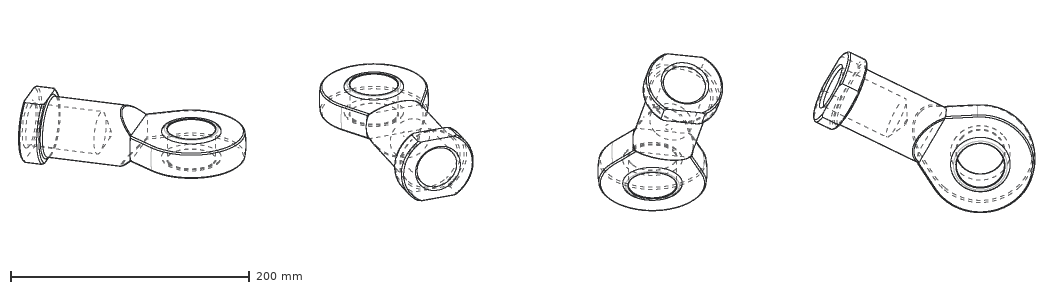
import cadquery as cq
import math

total_length = 188.0
eye_radius = 92.0 / 2
eye_x = total_length - eye_radius
eye_thickness = 23.3
eye_crown = 1.0
eye_edge_chamfer = 1.3

ring_width = 28.2
ring_diameter = 50.0
ring_bore = 40.2
ring_bore_chamfer = 0.5
ring_rounding = (ring_width - eye_thickness) / 2

shank_radius = 51.7 / 2
shank_end = 95.9
bevel_edge_chamfer = 0.8
collar_radius = 65.2 / 2
collar_length = 17.9
collar_flats = 55.0
collar_chamfer = 1.5
collar_neck = 1.5
neck_angle = 45.0

socket_radius = 36.0 / 2
socket_depth = 62.0
socket_mouth_radius = 20.3
socket_tip_radius = 2.8
drill_point_angle = 118.0


def crowned_section(plane, half_width):
    """Half section from the centre line out to a crowned, chamfered rim."""
    half_thickness = eye_thickness / 2
    rim_edge = half_width - eye_crown
    rim_z = half_thickness - eye_edge_chamfer
    return (
        cq.Workplane(plane)
        .moveTo(0, -half_thickness)
        .lineTo(rim_edge - eye_edge_chamfer, -half_thickness)
        .lineTo(rim_edge, -rim_z)
        .threePointArc((half_width, 0), (rim_edge, rim_z))
        .lineTo(rim_edge - eye_edge_chamfer, half_thickness)
        .lineTo(0, half_thickness)
        .close()
    )


def make_eye():
    """Crowned disc with two crowned flanks running tangentially to the shank."""
    eye_centre = cq.Vector(eye_x, 0, 0)
    disc_plane = cq.Plane(origin=eye_centre, xDir=(1, 0, 0), normal=(0, -1, 0))
    eye = crowned_section(disc_plane, eye_radius).revolve(360, (0, 0), (0, 1))

    reach = eye_x - shank_end
    corner_distance = math.hypot(reach, shank_radius)
    tangent_angle = math.atan2(shank_radius, -reach) - math.acos(eye_radius / corner_distance)
    flank_length = math.sqrt(corner_distance**2 - eye_radius**2)

    for side in (1, -1):
        outward = cq.Vector(math.cos(tangent_angle), side * math.sin(tangent_angle), 0)
        along = cq.Vector(-math.sin(tangent_angle), side * math.cos(tangent_angle), 0)
        flank_plane = cq.Plane(origin=eye_centre, xDir=outward, normal=along)
        flank = crowned_section(flank_plane, eye_radius).extrude(flank_length + shank_radius)
        side_envelope = cq.Workplane("XY").box(
            reach, eye_radius, eye_thickness, centered=(False, True, True)
        )
        side_envelope = side_envelope.translate((shank_end, side * eye_radius / 2, 0))
        eye = eye.union(flank.intersect(side_envelope))
    return eye


def make_shank():
    """Round shank bevelled at 45 degrees down to the eye thickness."""
    half_thickness = eye_thickness / 2
    bevel_start = shank_end - (shank_radius - half_thickness)
    bevel_outline = (
        cq.Workplane("XZ")
        .moveTo(0, -shank_radius)
        .lineTo(bevel_start, -shank_radius)
        .lineTo(shank_end, -half_thickness)
        .lineTo(shank_end, half_thickness)
        .lineTo(bevel_start, shank_radius)
        .lineTo(0, shank_radius)
        .close()
        .extrude(shank_radius, both=True)
    )
    shank = cq.Workplane("YZ").circle(shank_radius).extrude(shank_end).intersect(bevel_outline)
    return shank.edges("%ELLIPSE").chamfer(bevel_edge_chamfer)


def make_collar():
    """Chamfered round collar with two wrench flats and a conical neck."""
    collar = cq.Workplane("YZ").circle(collar_radius).extrude(collar_length)
    collar = collar.faces("<X or >X").edges().chamfer(collar_chamfer)
    flats = cq.Workplane("YZ").rect(2 * collar_radius, collar_flats).extrude(collar_length)
    neck = (
        cq.Workplane("YZ", origin=(collar_length, 0, 0))
        .circle(shank_radius + collar_neck)
        .extrude(collar_neck, taper=neck_angle)
    )
    return collar.intersect(flats).union(neck)


def make_ring():
    """Bearing ring with rounded outer edges, still without its bore."""
    ring = cq.Workplane("XY", origin=(eye_x, 0, -ring_width / 2))
    ring = ring.circle(ring_diameter / 2).extrude(ring_width)
    return ring.edges().fillet(ring_rounding)


def make_socket():
    """Countersunk blind hole ending in a truncated drill point."""
    mouth_depth = socket_mouth_radius - socket_radius
    point_length = (socket_radius - socket_tip_radius) / math.tan(math.radians(drill_point_angle / 2))
    return (
        cq.Workplane("XY")
        .moveTo(0, 0)
        .lineTo(0, socket_mouth_radius)
        .lineTo(mouth_depth, socket_radius)
        .lineTo(socket_depth, socket_radius)
        .lineTo(socket_depth + point_length, socket_tip_radius)
        .lineTo(socket_depth + point_length, 0)
        .close()
        .revolve(360, (0, 0), (1, 0))
    )


def make_ring_bore():
    """Through bore flared by a small chamfer at both ends."""
    bore = cq.Workplane("XY", origin=(eye_x, 0, 0))
    bore = bore.circle(ring_bore / 2).extrude(ring_width / 2, both=True)
    for end in (1, -1):
        flare = cq.Solid.makeCone(
            ring_bore / 2 + ring_bore_chamfer,
            ring_bore / 2,
            ring_bore_chamfer,
            pnt=cq.Vector(eye_x, 0, end * ring_width / 2),
            dir=cq.Vector(0, 0, -end),
        )
        bore = bore.union(cq.Workplane(flare))
    return bore


body = make_shank().union(make_collar()).union(make_eye()).union(make_ring())
result = body.cut(make_socket()).cut(make_ring_bore())